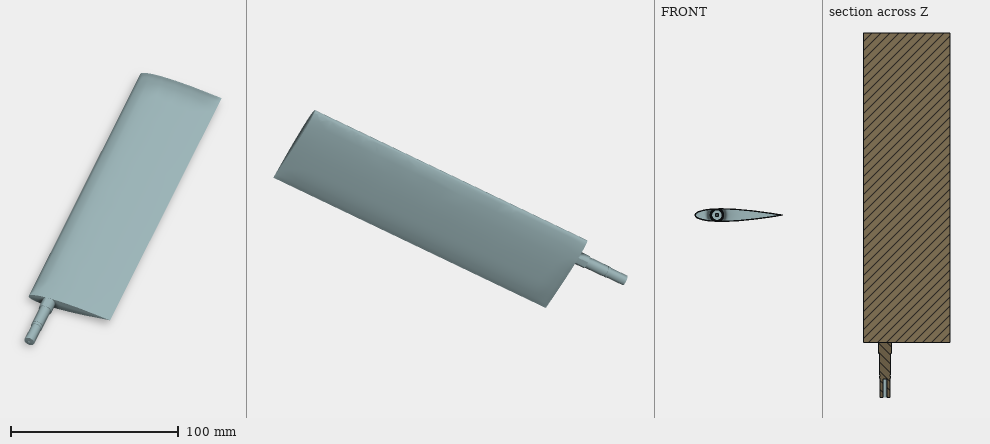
import cadquery as cq
import math

chord = 52.0
blade_thickness = 7.5
overall_length = 217.2
stem_length = 32.5
blade_length = overall_length - stem_length
surface_intervals = 16

stem_x = chord / 4
collar_diameter = 8.0
collar_length = 6.5
collar_across_flats = 7.2
journal_diameter = 7.0
journal_end = 21.0
groove_width = 0.7
groove_land = 1.3
shank_diameter = 6.3
bore_diameter = 2.0
bore_depth = 10.9


def half_thickness(fraction):
    """NACA four-digit half thickness, with a closed trailing edge, at a fraction of the chord."""
    return 5 * blade_thickness * (
        0.2969 * math.sqrt(fraction)
        - 0.1260 * fraction
        - 0.3516 * fraction**2
        + 0.2843 * fraction**3
        - 0.1036 * fraction**4
    )


def surface_points(side):
    """Points from the leading to the trailing edge; side is +1 for the upper surface, -1 for the lower."""
    points = []
    for i in range(surface_intervals):
        fraction = (1 - math.cos(math.pi * i / surface_intervals)) / 2
        points.append((chord * fraction, side * half_thickness(fraction)))
    points.append((chord, 0))
    return points


def make_blade():
    upper = surface_points(1)
    lower = surface_points(-1)
    lower.reverse()
    return (
        cq.Workplane("XZ")
        .moveTo(0, 0)
        .spline(upper[1:], includeCurrent=True)
        .spline(lower[1:], includeCurrent=True)
        .close()
        .extrude(-blade_length)
    )


def stem_cylinder(diameter, start, length):
    """Cylinder on the stem axis that starts at a distance from the blade root."""
    return (
        cq.Workplane("XZ", origin=(stem_x, -start, 0))
        .circle(diameter / 2)
        .extrude(length)
    )


def make_collar():
    cylinder = stem_cylinder(collar_diameter, 0, collar_length)
    flats = (
        cq.Workplane("XZ", origin=(stem_x, 0, 0))
        .rect(collar_diameter, collar_across_flats)
        .extrude(collar_length)
    )
    return cylinder.intersect(flats)


def make_stem():
    groove_end = journal_end - groove_land
    groove_start = groove_end - groove_width
    journal = stem_cylinder(journal_diameter, collar_length, groove_start - collar_length)
    land = stem_cylinder(journal_diameter, groove_end, groove_land)
    shank = stem_cylinder(shank_diameter, groove_start, stem_length - groove_start)
    bore = stem_cylinder(bore_diameter, stem_length - bore_depth, bore_depth)
    return make_collar().union(journal).union(shank).union(land).cut(bore)


blade = make_blade()
stem = make_stem()

result = cq.Compound.makeCompound([blade.val(), stem.val()])